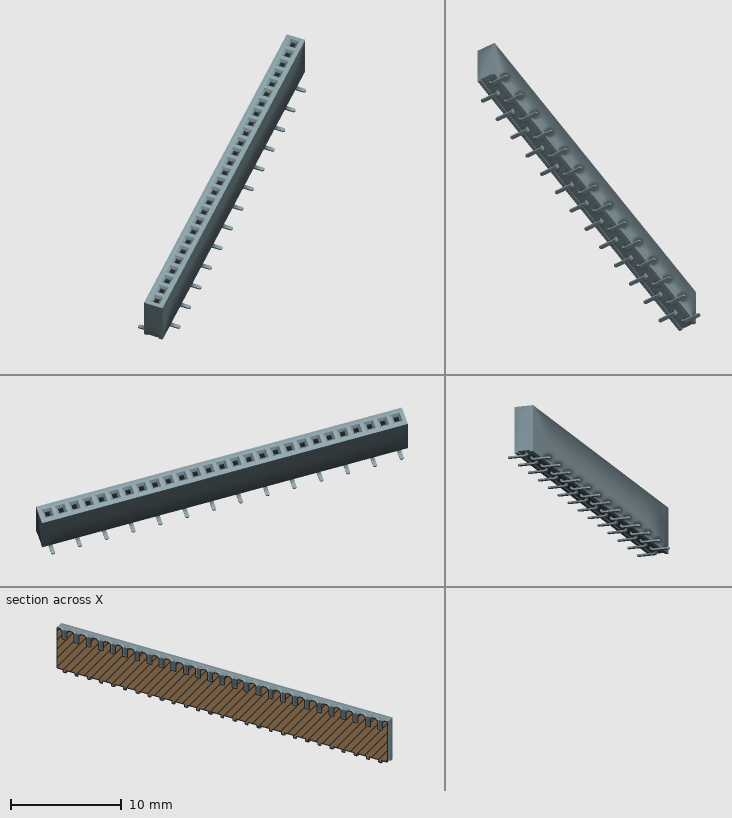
import cadquery as cq
import math


CONTACT_COUNT = 27
PITCH = 1.27

TOTAL_HEIGHT = 4.53
TAIL_SPAN = 3.58

HOUSING_WIDTH = 1.8
HOUSING_LENGTH = 34.64
HOUSING_BOTTOM = 0.2
GROOVE_WIDTH = 1.16
GROOVE_TOP = 0.33

FUNNEL_SIZE = 0.9
HOLE_SIZE = 0.46
FUNNEL_DEPTH = (FUNNEL_SIZE - HOLE_SIZE) / 2
HOLE_DEPTH = 3.0

STRIP_THICKNESS = 0.15
BLADE_WIDTH = HOLE_SIZE
BLADE_BOTTOM = GROOVE_TOP
BLADE_TOP_BELOW_FACE = 1.0
TAIL_WIDTH = 0.36
INNER_BEND_RADIUS = 0.1
OUTER_BEND_RADIUS = INNER_BEND_RADIUS + STRIP_THICKNESS
TAIL_TIP_CHAMFER = 0.1

contact_positions = [(i - (CONTACT_COUNT - 1) / 2) * PITCH for i in range(CONTACT_COUNT)]


def make_housing():
    """Plain block with a shallow groove along the middle of its underside."""
    height = TOTAL_HEIGHT - HOUSING_BOTTOM
    block = cq.Workplane("XY", origin=(0, 0, HOUSING_BOTTOM)).box(
        HOUSING_WIDTH, HOUSING_LENGTH, height, centered=(True, True, False)
    )
    groove = cq.Workplane("XY").box(
        GROOVE_WIDTH, HOUSING_LENGTH, GROOVE_TOP, centered=(True, True, False)
    )
    return block.cut(groove)


def make_socket(y):
    """Solid that cuts one socket: the tapered mouth and the hole below it."""
    mouth = (
        cq.Workplane("XY", origin=(0, y, TOTAL_HEIGHT))
        .rect(FUNNEL_SIZE, FUNNEL_SIZE)
        .workplane(offset=-FUNNEL_DEPTH)
        .rect(HOLE_SIZE, HOLE_SIZE)
        .loft(ruled=True)
    )
    hole = cq.Workplane("XY", origin=(0, y, TOTAL_HEIGHT - HOLE_DEPTH)).box(
        HOLE_SIZE, HOLE_SIZE, HOLE_DEPTH - FUNNEL_DEPTH, centered=(True, True, False)
    )
    return mouth.union(hole)


def make_contact(y, side):
    """Upright blade bent into a flat tail that points toward side (-1 or +1 in X)."""
    blade_top = TOTAL_HEIGHT - BLADE_TOP_BELOW_FACE
    half_strip = STRIP_THICKNESS / 2
    tail_end = side * TAIL_SPAN / 2
    back = -side * half_strip
    front = side * half_strip
    bend_center_x = back + side * OUTER_BEND_RADIUS
    outer_mid = OUTER_BEND_RADIUS * math.sqrt(0.5)
    inner_mid = INNER_BEND_RADIUS * math.sqrt(0.5)
    bent_part = (
        cq.Workplane("XZ", origin=(0, y + TAIL_WIDTH / 2, 0))
        .moveTo(tail_end, 0)
        .lineTo(bend_center_x, 0)
        .threePointArc(
            (bend_center_x - side * outer_mid, OUTER_BEND_RADIUS - outer_mid),
            (back, OUTER_BEND_RADIUS),
        )
        .lineTo(back, BLADE_BOTTOM)
        .lineTo(front, BLADE_BOTTOM)
        .lineTo(front, OUTER_BEND_RADIUS)
        .threePointArc(
            (bend_center_x - side * inner_mid, OUTER_BEND_RADIUS - inner_mid),
            (bend_center_x, STRIP_THICKNESS),
        )
        .lineTo(tail_end, STRIP_THICKNESS)
        .close()
        .extrude(TAIL_WIDTH)
        .edges("|Z and >X" if side > 0 else "|Z and <X")
        .chamfer(TAIL_TIP_CHAMFER)
    )
    blade = cq.Workplane("XY", origin=(0, y, BLADE_BOTTOM)).box(
        STRIP_THICKNESS, BLADE_WIDTH, blade_top - BLADE_BOTTOM, centered=(True, True, False)
    )
    return bent_part.union(blade)


result = make_housing()
for y in contact_positions:
    result = result.cut(make_socket(y))

for index, y in enumerate(contact_positions):
    side = -1 if index % 2 == 0 else 1
    result = result.union(make_contact(y, side))